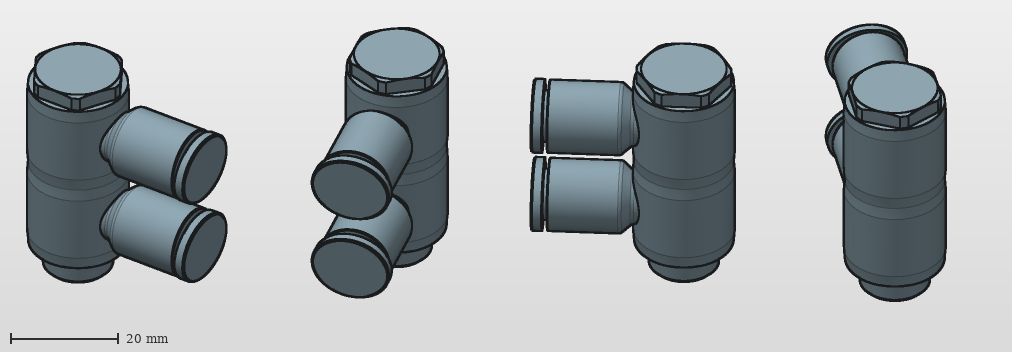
import cadquery as cq
import math

total_height = 45.0
module_height = 18.0
module_count = 2
body_radius = 9.5
body_end_radius = 9.3
taper_height = 2.45
hex_height = 2.95
hex_bottom = total_height - hex_height
body_bottom = hex_bottom - module_count * module_height

stud_radius = 6.55
stud_chamfer = 1.0
stud_top = 4.1
neck_radius = 5.62
neck_bottom = stud_top + stud_radius - neck_radius
neck_top_radius = 5.95
neck_flare_height = 0.55

hex_across_flats = 16.0
hex_corner_radius = 8.8
hex_face_radius = 7.95
hex_chamfer_height = 0.3

port_neck_radius = 5.0
port_radius = 6.85
cone_start = 9.45
cone_end = 11.55
cone_fillet = 1.0
port_end = 25.2
port_end_chamfer = 0.2
groove_radius = 4.8
groove_flare = 0.15
ring_start = 26.15
ring_end = 28.12
ring_half_width = 7.55
ring_half_height = 6.52
ring_step = 0.25


def make_stud():
    """Stud with a chamfered tip and an undercut neck that flares out below the body."""
    return (
        cq.Workplane("XZ")
        .lineTo(stud_radius - stud_chamfer, 0)
        .lineTo(stud_radius, stud_chamfer)
        .lineTo(stud_radius, stud_top)
        .lineTo(neck_radius, neck_bottom)
        .lineTo(neck_radius, body_bottom - neck_flare_height)
        .lineTo(neck_top_radius, body_bottom)
        .lineTo(0, body_bottom)
        .close()
        .revolve(360, (0, 0, 0), (0, 1, 0))
    )


def make_module(bottom):
    """Cylindrical module, slightly tapered towards both ends."""
    top = bottom + module_height
    return (
        cq.Workplane("XZ")
        .moveTo(0, bottom)
        .lineTo(body_end_radius, bottom)
        .lineTo(body_radius, bottom + taper_height)
        .lineTo(body_radius, top - taper_height)
        .lineTo(body_end_radius, top)
        .lineTo(0, top)
        .close()
        .revolve(360, (0, 0, 0), (0, 1, 0))
    )


def make_hex_head():
    """Hexagon with corners on the X axis, turned and chamfered at the top."""
    across_corners = hex_across_flats / math.cos(math.pi / 6)
    hexagon = (
        cq.Workplane("XY")
        .workplane(offset=hex_bottom)
        .polygon(6, across_corners)
        .extrude(hex_height)
    )
    turned = (
        cq.Workplane("XZ")
        .moveTo(0, hex_bottom)
        .lineTo(hex_corner_radius, hex_bottom)
        .lineTo(hex_corner_radius, total_height - hex_chamfer_height)
        .lineTo(hex_face_radius, total_height)
        .lineTo(0, total_height)
        .close()
        .revolve(360, (0, 0, 0), (0, 1, 0))
    )
    return hexagon.intersect(turned)


def make_oval(start, end, inset):
    """Oval disc of the release ring, shrunk all round by inset."""
    return (
        cq.Workplane("YZ")
        .workplane(offset=start)
        .ellipse(ring_half_width - inset, ring_half_height - inset)
        .extrude(end - start)
    )


def make_port(axis_height):
    """Tube port: neck, blended cone, barrel, groove and stepped oval ring."""
    barrel = (
        cq.Workplane("XZ")
        .lineTo(0, port_neck_radius)
        .lineTo(cone_start, port_neck_radius)
        .lineTo(cone_end, port_radius)
        .lineTo(port_end, port_radius)
        .lineTo(port_end, 0)
        .close()
        .revolve(360, (0, 0, 0), (1, 0, 0))
    )
    barrel = (
        barrel.faces("%CONE")
        .edges("%CIRCLE")
        .fillet(cone_fillet)
        .faces(">X")
        .edges()
        .chamfer(port_end_chamfer)
    )
    groove = (
        cq.Workplane("XZ")
        .lineTo(0, groove_radius)
        .lineTo(ring_start - groove_flare, groove_radius)
        .lineTo(ring_start, groove_radius + groove_flare)
        .lineTo(ring_start, 0)
        .close()
        .revolve(360, (0, 0, 0), (1, 0, 0))
    )
    rim = make_oval(ring_start, ring_end - ring_step, 0)
    face = make_oval(ring_start, ring_end, ring_step)
    return barrel.union(groove).union(rim).union(face).translate((0, 0, axis_height))


result = make_stud().union(make_hex_head())
for index in range(module_count):
    module_bottom = body_bottom + index * module_height
    result = result.union(make_module(module_bottom))
    result = result.union(make_port(module_bottom + module_height / 2))